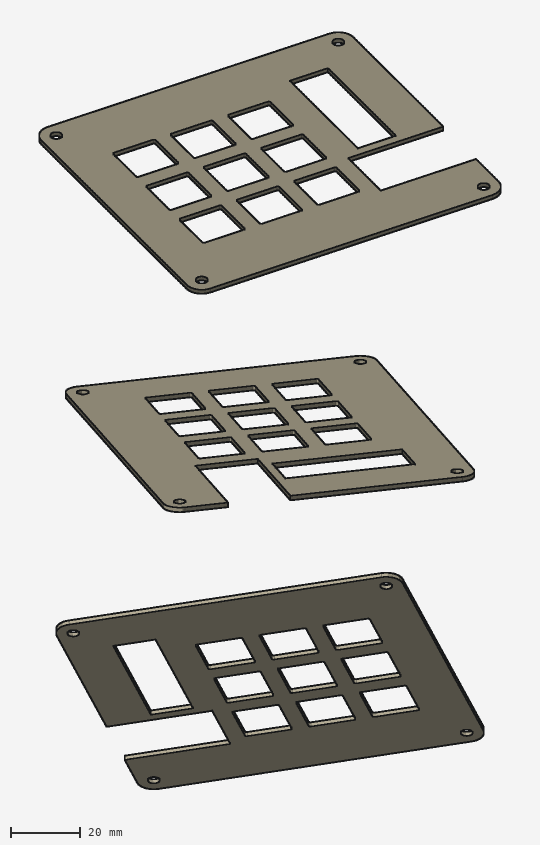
import cadquery as cq

plate_width = 93.5
plate_length = 103.5
plate_thickness = 1.5
corner_radius = 5.0

screw_hole_diameter = 3.4

key_size = 14.0
key_corner_radius = 0.5
key_pitch = 19.0
key_columns = 3
key_rows = 3
key_grid_center_y = -11.2

window_width = 39.0
window_length = 12.6
window_center_x = -12.4
window_center_y = 31.4

slot_width = 18.7
slot_depth = 31.6
slot_center_x = 19.4


def make_plate():
    blank = cq.Workplane("XY").rect(plate_width, plate_length).extrude(plate_thickness)
    return blank.edges("|Z").fillet(corner_radius)


def make_screw_holes():
    spacing_x = plate_width - 2 * corner_radius
    spacing_y = plate_length - 2 * corner_radius
    corners = cq.Workplane("XY").rect(spacing_x, spacing_y, forConstruction=True).vertices()
    return corners.circle(screw_hole_diameter / 2).extrude(plate_thickness)


def make_key_cutouts():
    grid = (
        cq.Workplane("XY")
        .center(0, key_grid_center_y)
        .rarray(key_pitch, key_pitch, key_columns, key_rows)
    )
    squares = grid.rect(key_size, key_size).extrude(plate_thickness)
    return squares.edges("|Z").fillet(key_corner_radius)


def make_display_window():
    outline = cq.Workplane("XY").center(window_center_x, window_center_y).rect(window_width, window_length)
    return outline.extrude(plate_thickness)


def make_controller_slot():
    slot_center_y = plate_length / 2 - slot_depth / 2
    outline = cq.Workplane("XY").center(slot_center_x, slot_center_y).rect(slot_width, slot_depth)
    return outline.extrude(plate_thickness)


result = (
    make_plate()
    .cut(make_screw_holes())
    .cut(make_key_cutouts())
    .cut(make_display_window())
    .cut(make_controller_slot())
)